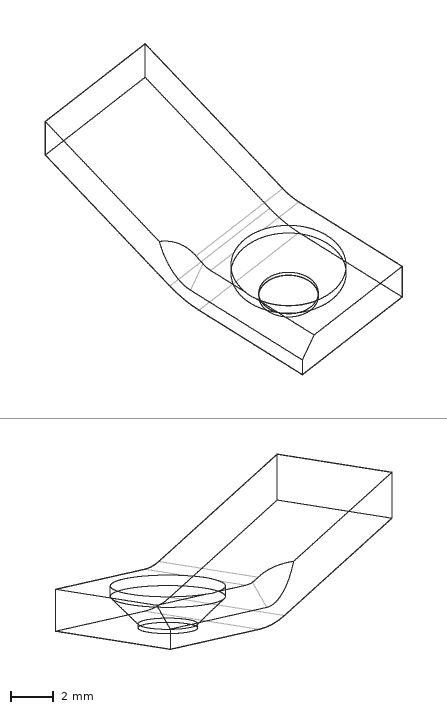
import cadquery as cq
import math

length = 16.14
width = 7.0
thickness = 2.0
bend_angle = math.radians(24)
bend_start = 9.65
inner_radius = 2.5
outer_radius = inner_radius + thickness

hole_from_end = 4.0
hole_diameter = 2.8
sink_diameter = 5.39
sink_rim_depth = 0.5

chamfer_width = 0.82
chamfer_height = 1.03
runout_start = 9.12
runout_radius = 2.21


def bend_point(radius, angle):
    """Point (X, Z) on a bend arc, at an angle back from the flat plate."""
    center_z = outer_radius
    return (bend_start - radius * math.sin(angle), center_z - radius * math.cos(angle))


def bent_plate():
    """Plate of even thickness, bent upwards, with a vertical end at X = 0."""
    outer_end = bend_point(outer_radius, bend_angle)
    inner_end = bend_point(inner_radius, bend_angle)
    slope = math.tan(bend_angle)
    return (
        cq.Workplane("XZ", origin=(0, width / 2, 0))
        .moveTo(length, 0)
        .lineTo(bend_start, 0)
        .threePointArc(bend_point(outer_radius, bend_angle / 2), outer_end)
        .lineTo(0, outer_end[1] + outer_end[0] * slope)
        .lineTo(0, inner_end[1] + inner_end[0] * slope)
        .lineTo(*inner_end)
        .threePointArc(bend_point(inner_radius, bend_angle / 2), (bend_start, thickness))
        .lineTo(length, thickness)
        .close()
        .extrude(width)
    )


def countersunk_hole():
    """Through hole with a 90 degree countersink below a short straight rim."""
    hole_radius = hole_diameter / 2
    sink_radius = sink_diameter / 2
    cone_top = thickness - sink_rim_depth
    cone_bottom = cone_top - (sink_radius - hole_radius)
    cutter_top = thickness + outer_radius
    return (
        cq.Workplane("XZ")
        .polyline([
            (0, 0),
            (hole_radius, 0),
            (hole_radius, cone_bottom),
            (sink_radius, cone_top),
            (sink_radius, cutter_top),
            (0, cutter_top),
        ])
        .close()
        .revolve(360, (0, 0, 0), (0, 1, 0))
        .translate((length - hole_from_end, 0, 0))
    )


def chamfer_cutter():
    """Long-edge chamfer whose inner end curves out of the plate, swept up the chamfer slope."""
    face_normal = cq.Vector(0, -chamfer_height, chamfer_width)
    slope_direction = cq.Vector(0, chamfer_width, chamfer_height)
    lower_edge = (0, -width / 2, thickness - chamfer_height)
    plane = cq.Plane(origin=lower_edge, xDir=(1, 0, 0), normal=slope_direction)
    outward = math.copysign(1, plane.yDir.dot(face_normal))
    diagonal = runout_radius * math.sqrt(0.5)
    reach = 2 * thickness
    return (
        cq.Workplane(plane)
        .moveTo(length, 0)
        .lineTo(runout_start, 0)
        .threePointArc(
            (runout_start - diagonal, outward * (runout_radius - diagonal)),
            (runout_start - runout_radius, outward * runout_radius),
        )
        .lineTo(runout_start - runout_radius, outward * reach)
        .lineTo(length, outward * reach)
        .close()
        .extrude(reach, both=True)
    )


result = bent_plate().cut(countersunk_hole()).cut(chamfer_cutter())